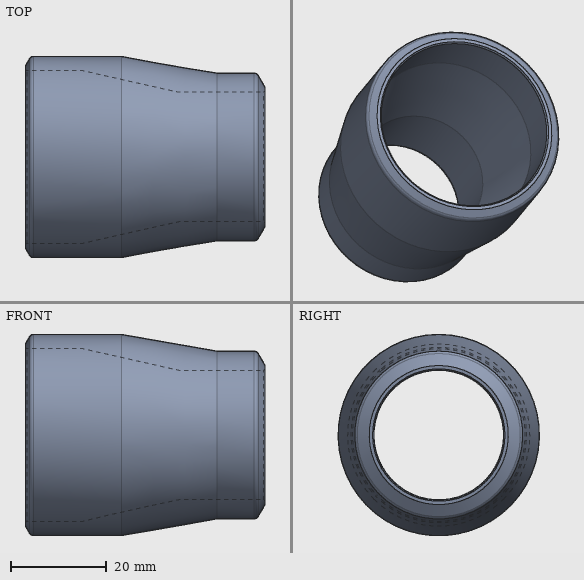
import cadquery as cq
import math

length = 50.0
large_end_length = 20.0
small_end_start = 40.0
bore_taper_end = 32.0
bore_taper_start = 12.0
large_outer_radius = 42.0 / 2
large_bore_radius = 36.0 / 2
small_outer_radius = 35.0 / 2
small_bore_radius = 27.0 / 2

root_face = 1.0
bevel_angle = math.radians(30)
shoulder_radius = 1.0
bore_chamfer = 0.3


def weld_end(outer_radius, bore_radius, end_x, inward):
    """Outer profile points from the root face to the cylinder; inward is the X direction into the part."""
    turn = math.pi / 2 - bevel_angle
    root_radius = bore_radius + root_face
    bevel_top = outer_radius - shoulder_radius * (1 - math.cos(turn))
    bevel_depth = (bevel_top - root_radius) * math.tan(bevel_angle)
    shoulder_end = bevel_depth + shoulder_radius * math.sin(turn)
    mid_depth = shoulder_end - shoulder_radius * math.sin(turn / 2)
    mid_radius = outer_radius - shoulder_radius * (1 - math.cos(turn / 2))
    return (
        (end_x, root_radius),
        (end_x + inward * bevel_depth, bevel_top),
        (end_x + inward * mid_depth, mid_radius),
        (end_x + inward * shoulder_end, outer_radius),
    )


large_root, large_bevel, large_mid, large_shoulder = weld_end(
    large_outer_radius, large_bore_radius, 0, 1
)
small_root, small_bevel, small_mid, small_shoulder = weld_end(
    small_outer_radius, small_bore_radius, length, -1
)

wall_section = (
    cq.Workplane("XZ")
    .moveTo(0, large_bore_radius + bore_chamfer)
    .lineTo(*large_root)
    .lineTo(*large_bevel)
    .threePointArc(large_mid, large_shoulder)
    .lineTo(large_end_length, large_outer_radius)
    .lineTo(small_end_start, small_outer_radius)
    .lineTo(*small_shoulder)
    .threePointArc(small_mid, small_bevel)
    .lineTo(*small_root)
    .lineTo(length, small_bore_radius + bore_chamfer)
    .lineTo(length - bore_chamfer, small_bore_radius)
    .lineTo(bore_taper_end, small_bore_radius)
    .lineTo(bore_taper_start, large_bore_radius)
    .lineTo(bore_chamfer, large_bore_radius)
    .close()
)

result = wall_section.revolve(360, (0, 0, 0), (1, 0, 0))